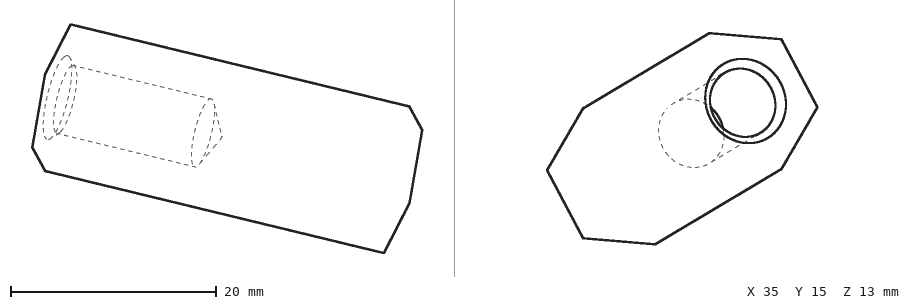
import cadquery as cq
import math

length = 35.0
across_flats = 13.0
hexagon_sides = 6
across_corners = across_flats / math.cos(math.pi / hexagon_sides)
edge_radius = 0.1

bore_diameter = 6.8
bore_depth = 15.0
drill_point_angle = 120.0
countersink_diameter = 8.4
countersink_angle = 90.0


def hexagonal_bar():
    """Bar centred on the origin, with every outer edge slightly rounded."""
    bar = cq.Workplane("YZ").polygon(hexagon_sides, across_corners).extrude(length / 2, both=True)
    return bar.edges().fillet(edge_radius)


def countersunk_bore():
    """Cutter for the bore: countersink, straight wall and conical drill point."""
    bore_radius = bore_diameter / 2
    countersink_radius = countersink_diameter / 2
    half_countersink_angle = math.radians(countersink_angle / 2)
    countersink_depth = (countersink_radius - bore_radius) / math.tan(half_countersink_angle)
    point_depth = bore_radius / math.tan(math.radians(drill_point_angle / 2))
    mouth = -length / 2
    half_section = (
        cq.Workplane("XY")
        .moveTo(mouth, 0)
        .lineTo(mouth, countersink_radius)
        .lineTo(mouth + countersink_depth, bore_radius)
        .lineTo(mouth + bore_depth, bore_radius)
        .lineTo(mouth + bore_depth + point_depth, 0)
        .close()
    )
    return half_section.revolve(360, (0, 0, 0), (1, 0, 0))


result = hexagonal_bar().cut(countersunk_bore())